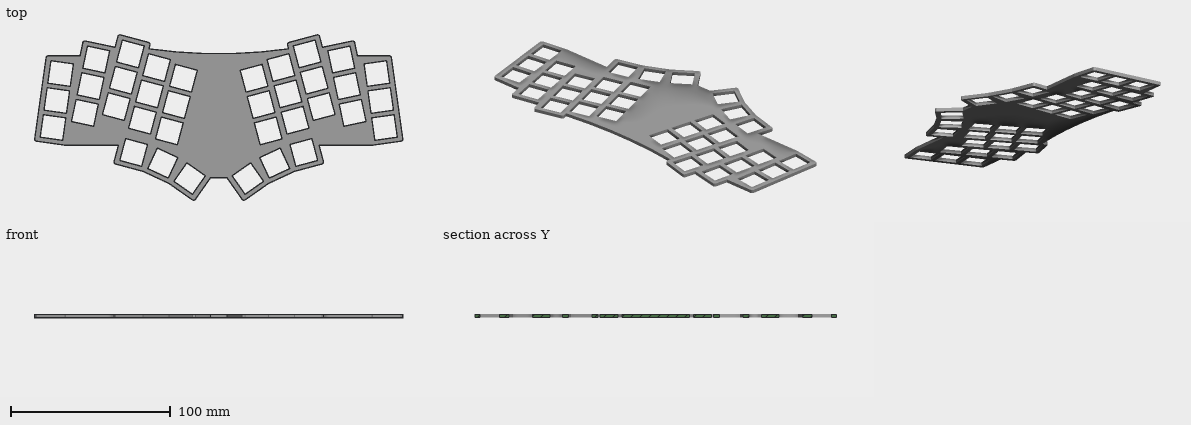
import cadquery as cq
import math

plate_length = 230.8
thickness = 2.2
rim = 1.45

cutout = 14.0
row_gap = 3.0
column_gap = 4.0
cell_height = cutout + row_gap
cell_width = cutout + column_gap
rows = (1, 0, -1)

pinky_tilt = 8
ring_tilt = 12
finger_tilt = 15
thumb_tilts = (15, 25, 35)

pinky_home_y = 10.6
ring_home = (-80.3, 19.6)
middle_home = (-59.8, 23.3)
index_home = (-43.5, 14.8)
inner_home = (-26.5, 8.0)
outer_thumb = (-53.3, -22.0)

top_edge_low_y = 38.5


def offset_point(origin, tilt, right, up):
    """Point reached from origin by moving right and up along axes tilted clockwise."""
    angle = math.radians(tilt)
    x = origin[0] + right * math.cos(angle) + up * math.sin(angle)
    y = origin[1] - right * math.sin(angle) + up * math.cos(angle)
    return (x, y)


def cell_corner(cell, side, end):
    """Corner of a (centre, tilt) cell: side -1 left / 1 right, end -1 bottom / 1 top."""
    centre, tilt = cell
    return offset_point(centre, tilt, side * cell_width / 2, end * cell_height / 2)


def column(home, tilt):
    """Cells of one column, top row first, around its home-row centre."""
    return [(offset_point(home, tilt, 0, row * cell_height), tilt) for row in rows]


def thumb_cluster(centre):
    """Thumb cells from the outer one inwards, each hinged on its neighbour's lower corner."""
    cells = [(centre, thumb_tilts[0])]
    for tilt in thumb_tilts[1:]:
        hinge = cell_corner(cells[-1], 1, -1)
        cells.append((offset_point(hinge, tilt, cell_width / 2, cell_height / 2), tilt))
    return cells


def mirrored(point):
    return (-point[0], point[1])


pinky_half_height = len(rows) * cell_height / 2
pinky_corner_shift = offset_point((0, 0), pinky_tilt, -cell_width / 2, -pinky_half_height)
pinky_home = (rim - plate_length / 2 - pinky_corner_shift[0], pinky_home_y)

pinky = column(pinky_home, pinky_tilt)
ring = column(ring_home, ring_tilt)
middle = column(middle_home, finger_tilt)
index = column(index_home, finger_tilt)
inner = column(inner_home, finger_tilt)
thumbs = thumb_cluster(outer_thumb)
left_cells = pinky + ring + middle + index + inner + thumbs


def extrude_with_rim(outline):
    return outline.offset2D(rim, "arc").extrude(thickness)


def cell_block(cell):
    """Cell with its rim."""
    centre, tilt = cell
    outline = cq.Workplane("XY").rect(cell_width, cell_height)
    return extrude_with_rim(outline).rotate((0, 0, 0), (0, 0, 1), -tilt).translate(centre)


def cutout_block(cell):
    """Square through cutout at the centre of a cell."""
    centre, tilt = cell
    block = cq.Workplane("XY").rect(cutout, cutout).extrude(thickness)
    return block.rotate((0, 0, 0), (0, 0, 1), -tilt).translate(centre)


def web():
    """Plate area that joins the cells of both halves, with a curved top edge."""
    pinky_top = cell_corner(pinky[0], -1, 1)
    pinky_bottom_left = cell_corner(pinky[-1], -1, -1)
    pinky_bottom_right = cell_corner(pinky[-1], 1, -1)
    index_top = cell_corner(index[0], -1, 1)
    ring_x = ring[0][0][0]
    outer_thumb_x = thumbs[0][0][0]

    left_edge = [
        (ring_x, pinky_top[1]),
        pinky_top,
        pinky_bottom_left,
        pinky_bottom_right,
        (outer_thumb_x, pinky_bottom_right[1]),
    ]
    left_edge += [cell_corner(cell, 1, -1) for cell in thumbs]
    left_edge.append(cell_corner(thumbs[-1], 1, 1))
    right_edge = [mirrored(point) for point in reversed(left_edge)]

    outline = (
        cq.Workplane("XY")
        .moveTo(*mirrored(index_top))
        .threePointArc((0, top_edge_low_y), index_top)
    )
    for point in left_edge + right_edge:
        outline = outline.lineTo(*point)
    return extrude_with_rim(outline.close())


plate = web()
for cell in left_cells:
    block = cell_block(cell)
    plate = plate.union(block).union(block.mirror("YZ"))
for cell in left_cells:
    block = cutout_block(cell)
    plate = plate.cut(block).cut(block.mirror("YZ"))

result = plate.clean()